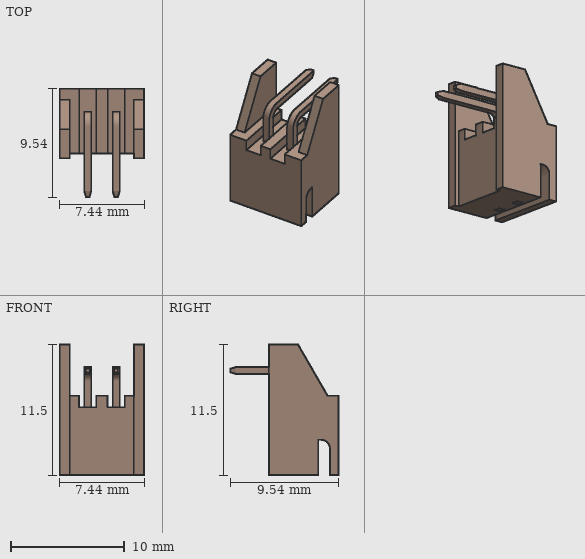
import cadquery as cq
import math


width = 7.44
height = 11.5
reach = 9.54

wall_thickness = 0.9
wall_depth = 6.13
core_depth = 5.72
core_height = 7.0
ledge = 0.97
slope_angle = 30.0

groove_width = 1.5
groove_depth = 1.0

slot_offset = 0.78
slot_width = 1.0
slot_height = 3.1
slot_radius = 0.75

pin_count = 2
pin_pitch = 2.5
pin_size = 0.64
pin_back = 2.03
pin_top = 9.53
bend_inner_radius = 0.6
tip_length = 0.52
tip_size = pin_size / 2

bend_radius = bend_inner_radius + pin_size / 2
pin_axis_y = -(pin_back + pin_size / 2)
pin_axis_z = pin_top - pin_size / 2
taper_start_y = -(reach - tip_length)
pin_xs = [(i - (pin_count - 1) / 2) * pin_pitch for i in range(pin_count)]


def make_block(x_size, depth, z_size, center_x=0.0, base_z=0.0):
    """Box running forwards from the back face of the housing."""
    block = cq.Workplane("XY").box(x_size, depth, z_size, centered=(True, False, False))
    return block.translate((center_x, -depth, base_z))


def make_side_wall(start_x):
    """Side wall that slopes up from the ledge to its full height."""
    slope_run = (height - core_height) * math.tan(math.radians(slope_angle))
    outline = (
        cq.Workplane("YZ", origin=(start_x, 0, 0))
        .polyline([
            (0, 0),
            (0, core_height),
            (-ledge, core_height),
            (-ledge - slope_run, height),
            (-wall_depth, height),
            (-wall_depth, 0),
        ])
        .close()
    )
    return outline.extrude(wall_thickness)


def make_slot():
    """Full-width slot, open below, with its upper back corner rounded."""
    slot = make_block(width, slot_width, slot_height)
    slot = slot.edges(">Y and >Z").fillet(slot_radius)
    return slot.translate((0, -slot_offset, 0))


def make_pin(center_x):
    """Square pin, bent forwards at the top and tapered at the tip."""
    bend_y = pin_axis_y - bend_radius
    bend_z = pin_axis_z - bend_radius
    bend_mid = (
        bend_y + bend_radius * math.cos(math.pi / 4),
        bend_z + bend_radius * math.sin(math.pi / 4),
    )
    path = (
        cq.Workplane("YZ", origin=(center_x, 0, 0))
        .moveTo(pin_axis_y, 0)
        .lineTo(pin_axis_y, bend_z)
        .threePointArc(bend_mid, (bend_y, pin_axis_z))
        .lineTo(taper_start_y, pin_axis_z)
    )
    shaft = (
        cq.Workplane("XY", origin=(center_x, pin_axis_y, 0))
        .rect(pin_size, pin_size)
        .sweep(path)
    )
    tip = (
        cq.Workplane("XZ", origin=(center_x, taper_start_y, pin_axis_z))
        .rect(pin_size, pin_size)
        .workplane(offset=tip_length)
        .rect(tip_size, tip_size)
        .loft()
    )
    return shaft.union(tip)


def make_housing(pins):
    """Core block between two side walls, with a matching hole for each pin."""
    housing = make_block(width, core_depth, core_height)
    groove_floor = core_height - groove_depth
    for start_x in (-width / 2, width / 2 - wall_thickness):
        housing = housing.union(make_side_wall(start_x))
    for x in pin_xs:
        housing = housing.cut(make_block(groove_width, core_depth, groove_depth, x, groove_floor))
    housing = housing.cut(make_slot())
    for pin in pins:
        housing = housing.cut(pin)
    return housing


pins = [make_pin(x) for x in pin_xs]
housing = make_housing(pins)

result = cq.Compound.makeCompound([housing.val(), *[pin.val() for pin in pins]])